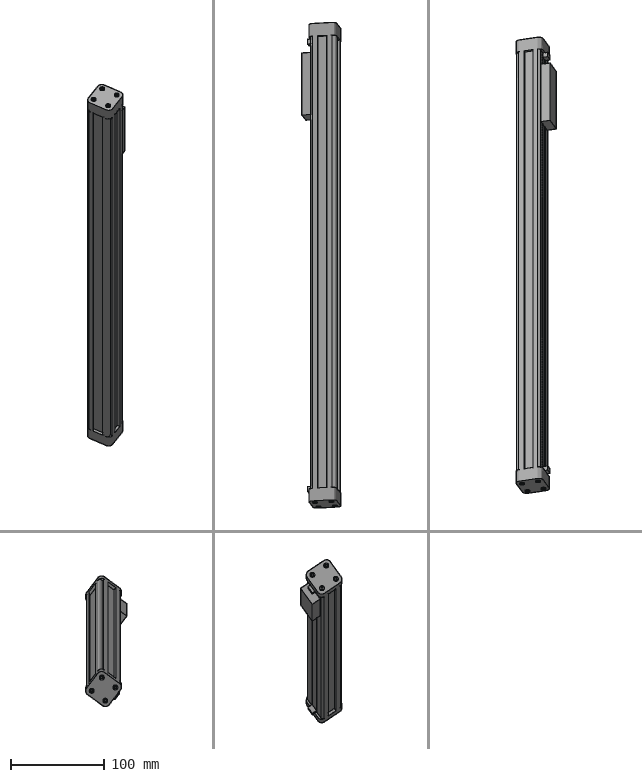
import cadquery as cq

total_length = 531.0
width = 30.0
total_depth = 38.0
tube_length = 501.5

cap_corner_radius = 5.0
screw_pitch = 18.0
head_diameter = 5.5
head_height = 0.5
socket_diameter = 2.5
socket_depth = 1.5

tube_top_drop = 2.4
top_chamfer = 2.25
notch_height = 4.0
notch_depth = 2.5
notch_rise = 1.35
bead_inset = 2.5
bead_radius = 3.1

side_groove_width = 10.0
side_groove_depth = 3.0
front_groove_mouth = 11.5
front_groove_root = 16.5
front_groove_depth = 3.0

band_width = 8.5
band_thickness = 0.8
clamp_length = 5.5
clamp_rise = 3.0

carriage_width = 22.0
carriage_length = 69.0
carriage_end_gap = 31.5

half_width = width / 2
half_tube = tube_length / 2
cap_length = (total_length - tube_length) / 2 - head_height
cap_end = half_tube + cap_length
tube_top = half_width - tube_top_drop


def block(x_size, y_low, y_high, z_low, z_high):
    """Box centred on X, between the given Y and Z limits."""
    return (
        cq.Workplane("XY", origin=(0, (y_low + y_high) / 2, z_low))
        .rect(x_size, y_high - y_low)
        .extrude(z_high - z_low)
    )


def make_tube():
    """Extruded tube with a notched, rounded bead along each -Y corner."""
    bead_x = half_width - bead_inset - bead_radius
    bead_y = bead_radius - half_width
    bead_mid = bead_radius * 0.5 ** 0.5
    notch_y = notch_height - half_width
    notch_root = (half_width - notch_depth, notch_y + notch_rise)
    tube = (
        cq.Workplane("XY", origin=(0, 0, -half_tube))
        .moveTo(-bead_x, -half_width)
        .lineTo(bead_x, -half_width)
        .threePointArc((bead_x + bead_mid, bead_y - bead_mid), (bead_x + bead_radius, bead_y))
        .lineTo(*notch_root)
        .lineTo(half_width, notch_y)
        .lineTo(half_width, tube_top - top_chamfer)
        .lineTo(half_width - top_chamfer, tube_top)
        .lineTo(top_chamfer - half_width, tube_top)
        .lineTo(-half_width, tube_top - top_chamfer)
        .lineTo(-half_width, notch_y)
        .lineTo(-notch_root[0], notch_root[1])
        .lineTo(-bead_x - bead_radius, bead_y)
        .threePointArc((-bead_x - bead_mid, bead_y - bead_mid), (-bead_x, -half_width))
        .close()
        .extrude(tube_length)
    )
    return tube.cut(side_grooves()).cut(front_groove()).cut(band_strip())


def side_grooves():
    """Plain grooves along the middle of both X faces."""
    grooves = cq.Workplane("XY", origin=(0, 0, -half_tube))
    return (
        grooves.pushPoints([(-half_width, 0), (half_width, 0)])
        .rect(2 * side_groove_depth, side_groove_width)
        .extrude(tube_length)
    )


def front_groove():
    """Dovetail groove along the middle of the -Y face."""
    root_y = front_groove_depth - half_width
    return (
        cq.Workplane("XY", origin=(0, 0, -half_tube))
        .polyline([
            (-front_groove_mouth / 2, -half_width),
            (front_groove_mouth / 2, -half_width),
            (front_groove_root / 2, root_y),
            (-front_groove_root / 2, root_y),
        ])
        .close()
        .extrude(tube_length)
    )


def make_cap(end):
    """End cap with four socket screw heads; end is +1 for the +Z cap and -1 for the -Z cap."""
    cap = (
        cq.Workplane("XY", origin=(0, 0, end * half_tube))
        .rect(width, width)
        .extrude(end * cap_length)
        .edges("|Z")
        .fillet(cap_corner_radius)
    )
    screws = cq.Workplane("XY", origin=(0, 0, end * cap_end)).rect(
        screw_pitch, screw_pitch, forConstruction=True
    ).vertices()
    heads = screws.circle(head_diameter / 2).extrude(end * head_height)
    sockets = (
        cq.Workplane("XY", origin=(0, 0, end * total_length / 2))
        .rect(screw_pitch, screw_pitch, forConstruction=True)
        .vertices()
        .circle(socket_diameter / 2)
        .extrude(-end * socket_depth)
    )
    return cap.union(heads).cut(sockets)


def make_housing():
    """Tube and both end caps in one piece."""
    return make_tube().union(make_cap(1)).union(make_cap(-1)).clean()


def band_strip():
    """Flat band let into the tube +Y face, flush with it."""
    return block(band_width, tube_top - band_thickness, tube_top, -half_tube, half_tube)


def make_band():
    """Sealing band with a raised clamp against each end cap."""
    clamp_top = half_width + clamp_rise
    band = band_strip()
    for z_low in (-half_tube, half_tube - clamp_length):
        clamp = block(band_width, tube_top - band_thickness, clamp_top, z_low, z_low + clamp_length)
        band = band.union(clamp)
    return band


def make_carriage():
    """Plain carriage riding on the tube +Y face."""
    z_high = total_length / 2 - carriage_end_gap
    return block(carriage_width, tube_top, total_depth - half_width, z_high - carriage_length, z_high)


housing = make_housing()
band = make_band()
carriage = make_carriage()

result = cq.Compound.makeCompound([housing.val(), band.val(), carriage.val()])